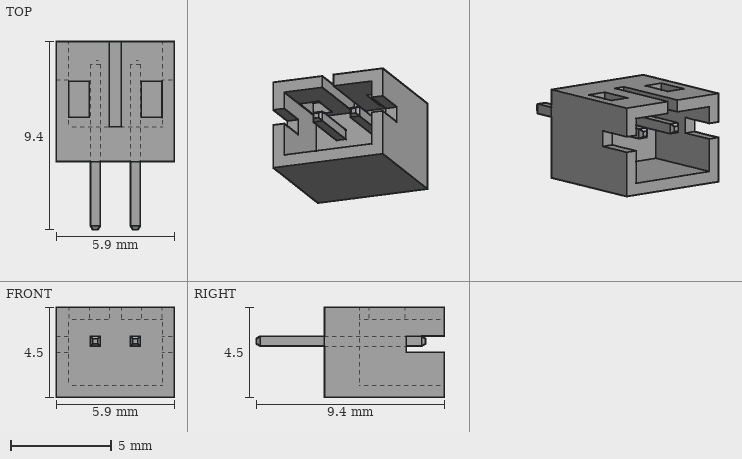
import cadquery as cq

overall_length = 9.4
housing_width = 5.9
housing_height = 4.5
housing_length = 6.0
wall = 0.6
top_z = housing_height / 2
side_x = housing_width / 2

slot_width = 0.6
slot_length = 4.25
cavity_depth = slot_length

window_width = 1.02
window_length = 1.805
window_mouth_gap = 1.98
window_side_gap = 0.63
window_x = side_x - window_side_gap - window_width / 2

notch_drop = 1.46
notch_height = 0.79
notch_length = 1.9

pin_pitch = 2.0
pin_size = 0.5
pin_mouth_gap = 0.94
tail_length = overall_length - housing_length
tip_length = 0.2
tip_inset = 0.12
pin_z = top_z - notch_drop - pin_size / 2
pin_positions = (-pin_pitch / 2, pin_pitch / 2)


def make_block(x, y_start, y_end, z_bottom, z_top, width):
    """Box centred on x, between the given Y and Z limits."""
    return (
        cq.Workplane("XY")
        .box(width, y_end - y_start, z_top - z_bottom, centered=(True, False, False))
        .translate((x, y_start, z_bottom))
    )


def pin_stock(x, y_start, y_end):
    """Square bar of pin section along Y."""
    return make_block(x, y_start, y_end, pin_z - pin_size / 2, pin_z + pin_size / 2, pin_size)


def make_housing():
    mouth_y = housing_length
    housing = make_block(0, 0, mouth_y, -top_z, top_z, housing_width)

    cavity = make_block(
        0, mouth_y - cavity_depth, mouth_y, wall - top_z, top_z - wall, housing_width - 2 * wall
    )
    housing = housing.cut(cavity)

    slot = make_block(0, mouth_y - slot_length, mouth_y, top_z - wall, top_z, slot_width)
    housing = housing.cut(slot)

    window_end = mouth_y - window_mouth_gap
    for x in (-window_x, window_x):
        window = make_block(x, window_end - window_length, window_end, top_z - wall, top_z, window_width)
        housing = housing.cut(window)

    notch_top = top_z - notch_drop
    notch = make_block(
        0, mouth_y - notch_length, mouth_y, notch_top - notch_height, notch_top, housing_width
    )
    housing = housing.cut(notch)

    for x in pin_positions:
        housing = housing.cut(pin_stock(x, 0, mouth_y - cavity_depth))
    return housing


def make_tip(x, base_y, end_y):
    """Square taper from the full pin section at base_y to the small end face at end_y."""
    end_size = pin_size - 2 * tip_inset
    return (
        cq.Workplane("XZ", origin=(x, base_y, pin_z))
        .rect(pin_size, pin_size)
        .workplane(offset=base_y - end_y)
        .rect(end_size, end_size)
        .loft(ruled=True)
    )


def make_pin(x):
    tail_end = -tail_length
    mating_end = housing_length - pin_mouth_gap
    tail_base = tail_end + tip_length
    mating_base = mating_end - tip_length
    pin = pin_stock(x, tail_base, mating_base)
    pin = pin.union(make_tip(x, tail_base, tail_end))
    return pin.union(make_tip(x, mating_base, mating_end))


housing = make_housing()
pins = [make_pin(x) for x in pin_positions]
result = cq.Compound.makeCompound([housing.solids().val(), *[pin.solids().val() for pin in pins]])